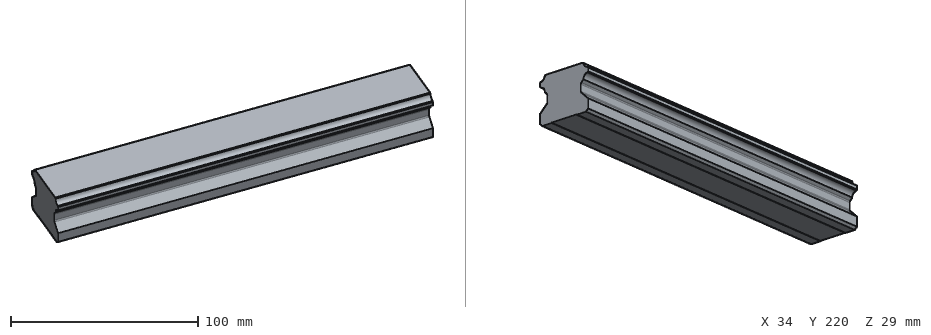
import cadquery as cq
import math

RAIL_LENGTH = 220.0
RAIL_HEIGHT = 29.0
HALF_WIDTH = 17.0

BASE_CHAMFER = 1.5
BASE_SIDE_TOP_Z = 7.4
RELIEF_HALF_WIDTH = 8.8
RELIEF_DEPTH = 0.2

WAIST_HALF_WIDTH = 11.9
WAIST_BOTTOM_Z = 12.25
WAIST_FILLET = 1.15

RIDGE_CENTRE_Z = 24.1
RIDGE_FLAT_HEIGHT = 2.2
RIDGE_CHAMFER = 0.5
GROOVE_RADIUS = 3.3
GROOVE_INNER_X = 13.7
TOP_CHAMFER = 0.5

ridge_top_z = RIDGE_CENTRE_Z + RIDGE_FLAT_HEIGHT / 2
ridge_bottom_z = RIDGE_CENTRE_Z - RIDGE_FLAT_HEIGHT / 2
groove_outer_x = HALF_WIDTH - RIDGE_CHAMFER
upper_groove_start_z = ridge_top_z + RIDGE_CHAMFER
upper_groove_end_z = RAIL_HEIGHT - TOP_CHAMFER
lower_groove_start_z = 2 * RIDGE_CENTRE_Z - RAIL_HEIGHT
lower_groove_end_z = ridge_bottom_z - RIDGE_CHAMFER
waist_top_z = lower_groove_start_z - (GROOVE_INNER_X - WAIST_HALF_WIDTH)


def groove_midpoint(start, end):
    """Middle of a groove arc, which bows into the head towards X = 0 and the ridge."""
    run_x = end[0] - start[0]
    run_z = end[1] - start[1]
    chord = math.hypot(run_x, run_z)
    sagitta = GROOVE_RADIUS - math.sqrt(GROOVE_RADIUS**2 - (chord / 2) ** 2)
    inward_x = -abs(run_z) / chord
    inward_z = math.copysign(abs(run_x) / chord, RIDGE_CENTRE_Z - start[1])
    middle_x = (start[0] + end[0]) / 2
    middle_z = (start[1] + end[1]) / 2
    return (middle_x + sagitta * inward_x, middle_z + sagitta * inward_z)


def half_profile():
    """Open outline of the +X half of the cross-section, from bottom centre to top centre."""
    lower_start = (GROOVE_INNER_X, lower_groove_start_z)
    lower_end = (groove_outer_x, lower_groove_end_z)
    upper_start = (groove_outer_x, upper_groove_start_z)
    upper_end = (GROOVE_INNER_X, upper_groove_end_z)
    return (
        cq.Workplane("XZ", origin=(0, RAIL_LENGTH / 2, 0))
        .moveTo(0, RELIEF_DEPTH)
        .lineTo(RELIEF_HALF_WIDTH, RELIEF_DEPTH)
        .lineTo(RELIEF_HALF_WIDTH, 0)
        .lineTo(HALF_WIDTH - BASE_CHAMFER, 0)
        .lineTo(HALF_WIDTH, BASE_CHAMFER)
        .lineTo(HALF_WIDTH, BASE_SIDE_TOP_Z)
        .lineTo(WAIST_HALF_WIDTH, WAIST_BOTTOM_Z)
        .lineTo(WAIST_HALF_WIDTH, waist_top_z)
        .lineTo(*lower_start)
        .threePointArc(groove_midpoint(lower_start, lower_end), lower_end)
        .lineTo(HALF_WIDTH, ridge_bottom_z)
        .lineTo(HALF_WIDTH, ridge_top_z)
        .lineTo(*upper_start)
        .threePointArc(groove_midpoint(upper_start, upper_end), upper_end)
        .lineTo(GROOVE_INNER_X - TOP_CHAMFER, RAIL_HEIGHT)
        .lineTo(0, RAIL_HEIGHT)
    )


def round_waist_corners(rail):
    """Fillet the inside corners at the top and bottom of the waist on both sides."""
    margin = 0.1
    waist_region = cq.selectors.BoxSelector(
        (-WAIST_HALF_WIDTH - margin, -RAIL_LENGTH, WAIST_BOTTOM_Z - margin),
        (WAIST_HALF_WIDTH + margin, RAIL_LENGTH, waist_top_z + margin),
    )
    return rail.edges("|Y").edges(waist_region).fillet(WAIST_FILLET)


rail_blank = half_profile().mirrorY().extrude(RAIL_LENGTH)
result = round_waist_corners(rail_blank).clean()